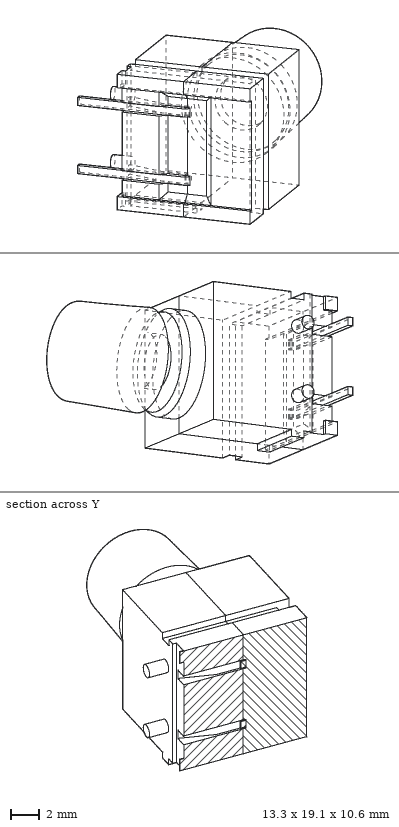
import cadquery as cq

TOTAL_LENGTH = 19.11
BLOCK = 10.1
HALF_BLOCK = BLOCK / 2
BAR_HEIGHT = 1.0
BAR_DEPTH = 0.29

RELIEF_DEPTH = 0.29
RELIEF_END = 2.1
CORNER_BLOCK_LENGTH = 1.0
RELIEF_X = -HALF_BLOCK + RELIEF_DEPTH

POCKET_WIDTH = 3.94
POCKET_HEIGHT = BLOCK - 2 * BAR_HEIGHT
POCKET_DEPTH = 0.5

RIB_Y = 3.25
RIB_WIDTH = 1.0
RIB_HEIGHT = 0.5
GROOVE_WIDTH = 1.05
NOTCH_DEPTH = 1.0
PEG_DIAMETER = 1.0
PEG_LENGTH = 1.53
ROW_OFFSET = 2.55
ROW_HEIGHTS = (-ROW_OFFSET, ROW_OFFSET)

PIN_HEIGHT = 0.61
PIN_THICKNESS = 0.4
PIN_FRONT = 0.52
PIN_BACK = PIN_FRONT + PIN_THICKNESS
PIN_REACH = 3.2
PIN_START = -HALF_BLOCK - PIN_REACH
PIN_LEG_START = -0.21
PIN_LEG_END = PIN_LEG_START + PIN_THICKNESS
SLOT_HEIGHT = 0.7
SLOT_BOTTOM = 1.1
SLOT_MOUTH = 1.87
RAMP_LENGTH = 2.68

COLLAR_RADIUS = 3.9
COLLAR_LENGTH = 1.75
COLLAR_TAPER_LENGTH = 0.52
COLLAR_TAPER = 0.29
COLLAR_END = BLOCK + COLLAR_LENGTH

STEM_RADIUS = 1.99
STEM_FILLET = 0.15
CAP_START = 13.09
CAP_BASE_RADIUS = 3.8
CAP_TIP_RADIUS = 3.6
CAP_FILLET = 0.5


def block(x_range, y_range, z_range):
    """Box between two limits along each axis."""
    size = [high - low for low, high in (x_range, y_range, z_range)]
    corner = cq.Vector(x_range[0], y_range[0], z_range[0])
    return cq.Workplane(cq.Solid.makeBox(*size, corner))


def front_pocket():
    """Pocket between the bars that narrows inward at 45 degrees."""
    return (
        cq.Workplane("XZ", origin=(0, BAR_DEPTH, 0))
        .rect(POCKET_WIDTH, POCKET_HEIGHT)
        .extrude(-POCKET_DEPTH, taper=45)
    )


def pin_slot(height):
    """Open-fronted pin slot with a ramp that deepens toward the left side."""
    outline = [
        (-HALF_BLOCK, 0),
        (PIN_LEG_END, 0),
        (PIN_LEG_END, SLOT_BOTTOM),
        (RELIEF_X + RAMP_LENGTH, SLOT_BOTTOM),
        (RELIEF_X, SLOT_MOUTH),
        (-HALF_BLOCK, SLOT_MOUTH),
    ]
    return (
        cq.Workplane("XY", origin=(0, 0, height - SLOT_HEIGHT / 2))
        .polyline(outline)
        .close()
        .extrude(SLOT_HEIGHT)
    )


def make_housing_half(x_range):
    """Housing features, without the left-side fittings, between two X limits."""
    inner = HALF_BLOCK - BAR_HEIGHT
    groove_y = (RIB_Y - GROOVE_WIDTH / 2, RIB_Y + GROOVE_WIDTH / 2)
    full = (-HALF_BLOCK, HALF_BLOCK)
    half = block(x_range, (0, BLOCK), full)
    half = half.cut(block(full, (0, BAR_DEPTH), (-inner, inner)))
    half = half.cut(front_pocket())
    for height in ROW_HEIGHTS:
        half = half.cut(pin_slot(height))
    return half.cut(block(full, groove_y, (HALF_BLOCK - RIB_HEIGHT, HALF_BLOCK)))


def make_left_half():
    """Half with the side relief, the bottom rib and the two pegs."""
    inner = HALF_BLOCK - BAR_HEIGHT
    relief_x = (-HALF_BLOCK, RELIEF_X)
    half = make_housing_half((-HALF_BLOCK, 0))
    half = half.cut(block(relief_x, (CORNER_BLOCK_LENGTH, RELIEF_END), (-HALF_BLOCK, HALF_BLOCK)))
    half = half.cut(block(relief_x, (0, RELIEF_END), (-inner, inner)))
    rib_y = (RIB_Y - RIB_WIDTH / 2, RIB_Y + RIB_WIDTH / 2)
    half = half.union(block((-HALF_BLOCK, 0), rib_y, (-HALF_BLOCK - RIB_HEIGHT, -HALF_BLOCK)))
    pegs = (
        cq.Workplane("YZ", origin=(-HALF_BLOCK, 0, 0))
        .pushPoints([(RIB_Y, height) for height in ROW_HEIGHTS])
        .circle(PEG_DIAMETER / 2)
        .extrude(-PEG_LENGTH)
    )
    return half.union(pegs)


def make_right_half():
    """Half with a notch down its right side that continues the top groove."""
    notch_x = (HALF_BLOCK - NOTCH_DEPTH, HALF_BLOCK)
    notch_y = (RIB_Y - GROOVE_WIDTH / 2, RIB_Y + GROOVE_WIDTH / 2)
    return make_housing_half((0, HALF_BLOCK)).cut(block(notch_x, notch_y, (-HALF_BLOCK, HALF_BLOCK)))


def make_pin(height):
    """Flat pin with a short leg that turns inward, round on the outside, to the slot bottom."""
    return (
        cq.Workplane("XY", origin=(0, 0, height - PIN_HEIGHT / 2))
        .moveTo(PIN_START, PIN_FRONT)
        .lineTo(PIN_LEG_START, PIN_FRONT)
        .radiusArc((PIN_LEG_END, PIN_BACK), -PIN_THICKNESS)
        .lineTo(PIN_LEG_END, SLOT_BOTTOM)
        .lineTo(PIN_LEG_START, SLOT_BOTTOM)
        .lineTo(PIN_LEG_START, PIN_BACK)
        .lineTo(PIN_START, PIN_BACK)
        .close()
        .extrude(PIN_HEIGHT)
    )


def revolve_profile(profile):
    """Turn a (radius, Y) outline around the knob axis."""
    return cq.Workplane("XY").polyline(profile).close().revolve(360, (0, 0, 0), (0, 1, 0))


def make_collar():
    """Round collar on the back of the housing with a tapered end."""
    return revolve_profile([
        (0, BLOCK),
        (COLLAR_RADIUS, BLOCK),
        (COLLAR_RADIUS, COLLAR_END - COLLAR_TAPER_LENGTH),
        (COLLAR_RADIUS - COLLAR_TAPER, COLLAR_END),
        (0, COLLAR_END),
    ])


def make_knob():
    """Stem and tapered cap in one piece, rounded at the cap's end and at the stem root."""
    knob = revolve_profile([
        (0, COLLAR_END),
        (STEM_RADIUS, COLLAR_END),
        (STEM_RADIUS, CAP_START),
        (CAP_BASE_RADIUS, CAP_START),
        (CAP_TIP_RADIUS, TOTAL_LENGTH),
        (0, TOTAL_LENGTH),
    ])
    stem_root = cq.selectors.BoxSelector(
        (-CAP_BASE_RADIUS, CAP_START - STEM_FILLET, -CAP_BASE_RADIUS),
        (CAP_BASE_RADIUS, CAP_START + STEM_FILLET, CAP_BASE_RADIUS),
    )
    knob = knob.faces(">Y").edges().fillet(CAP_FILLET)
    return knob.edges(stem_root).edges(cq.selectors.RadiusNthSelector(0)).fillet(STEM_FILLET)


left_half = make_left_half()
right_half = make_right_half()
collar = make_collar()
knob = make_knob()
pins = [make_pin(height) for height in ROW_HEIGHTS]

result = cq.Compound.makeCompound([
    left_half.val(),
    right_half.val(),
    collar.val(),
    knob.val(),
    *[pin.val() for pin in pins],
])